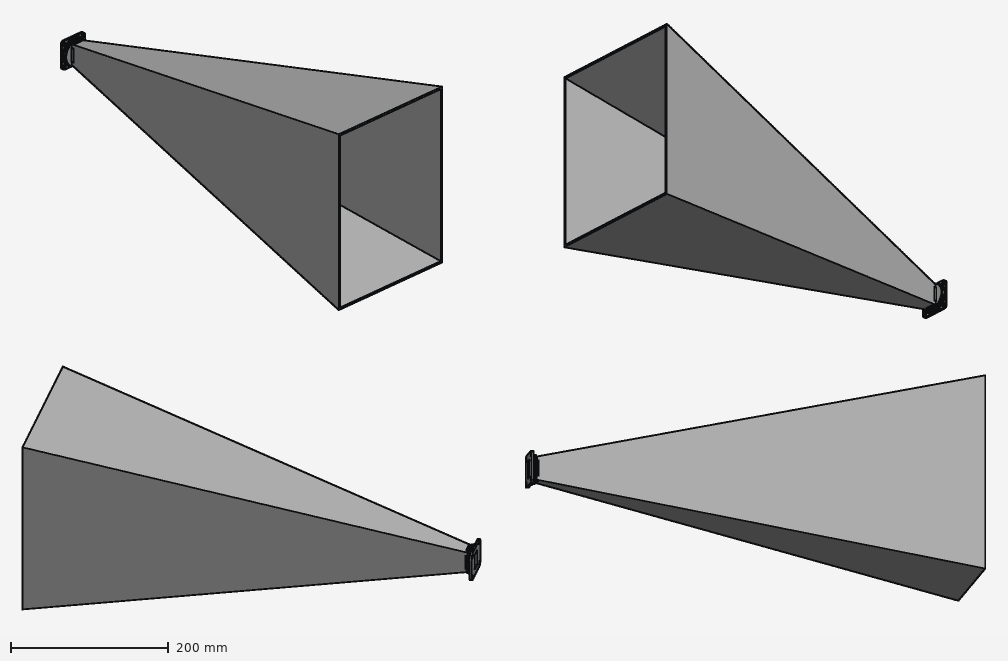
import cadquery as cq

length = 571.5
mouth_width = 185.0
mouth_height = 251.5
wall = 3.0
taper_start = 4.5

guide_width = 10.5
guide_height = 23.0

flange_side = 41.0
plate_thickness = 3.0
corner_radius = 5.0
hole_diameter = 4.5
hole_pitch_y = 32.5
hole_pitch_z = 31.0

boss_base_diameter = 40.0
boss_diameter = 37.0
boss_taper_start = taper_start
boss_taper_end = 6.5
boss_end = 8.0

pad_end = 11.5
side_pad_height = 20.0
side_pad_span = 19.0
top_pad_width = 11.0
top_pad_span = 32.5


def frustum(throat_width, throat_height, end_width, end_height):
    """Rectangular pyramid frustum from the start of the taper to the mouth."""
    return (
        cq.Workplane("YZ", origin=(taper_start, 0, 0))
        .rect(throat_width, throat_height)
        .workplane(offset=length - taper_start)
        .rect(end_width, end_height)
        .loft(ruled=True)
    )


def make_flange():
    plate = (
        cq.Workplane("YZ")
        .rect(flange_side, flange_side)
        .extrude(plate_thickness)
        .edges("|X")
        .fillet(corner_radius)
    )
    boss_profile = [
        (0, 0),
        (0, boss_base_diameter / 2),
        (boss_taper_start, boss_base_diameter / 2),
        (boss_taper_end, boss_diameter / 2),
        (boss_end, boss_diameter / 2),
        (boss_end, 0),
    ]
    boss = cq.Workplane("XY").polyline(boss_profile).close().revolve(360, (0, 0, 0), (1, 0, 0))
    holes = (
        cq.Workplane("YZ")
        .rect(hole_pitch_y, hole_pitch_z, forConstruction=True)
        .vertices()
        .circle(hole_diameter / 2)
        .extrude(boss_end)
    )
    return plate.union(boss).cut(holes)


def make_pads():
    base = cq.Workplane("YZ", origin=(taper_start, 0, 0))
    pad_length = pad_end - taper_start
    side_pads = base.rect(side_pad_span, side_pad_height).extrude(pad_length)
    top_pads = base.rect(top_pad_width, top_pad_span).extrude(pad_length)
    return side_pads.union(top_pads)


def make_horn():
    """Solid horn whose top and bottom walls sit between the side walls, flush with their edges."""
    throat_height = guide_height + 2 * wall
    envelope = frustum(guide_width + 2 * wall, throat_height, mouth_width, mouth_height)
    between_sides = frustum(guide_width, throat_height, mouth_width - 2 * wall, mouth_height)
    side_walls = envelope.cut(between_sides)
    return side_walls.union(between_sides, clean=False)


def make_cavity():
    """Straight guide through the flange, opening into the tapered inside of the horn."""
    guide = cq.Workplane("YZ").rect(guide_width, guide_height).extrude(taper_start)
    taper = frustum(guide_width, guide_height, mouth_width - 2 * wall, mouth_height - 2 * wall)
    return guide.union(taper)


body = make_horn().union(make_flange(), clean=False).union(make_pads(), clean=False)
result = body.cut(make_cavity(), clean=False)